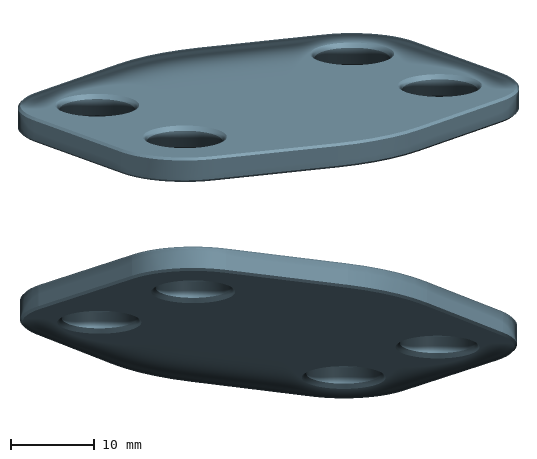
import cadquery as cq
import math

length = 57.0
width = 46.0
thickness = 3.0
hole_diameter = 9.0
hole_spacing_x = 17.5
hole_spacing_y = 38.0
hole_chamfer = 0.5
edge_chamfer = 0.3

hole_x = hole_spacing_x / 2
hole_y = hole_spacing_y / 2
side_radius = width / 2
corner_radius = length / 2 - hole_y

center_distance = math.hypot(hole_x, hole_y)
flank_angle = math.atan2(hole_y, hole_x) - math.acos((side_radius - corner_radius) / center_distance)


def on_circle(center_x, center_y, radius, angle):
    """Point on a circle at an angle in radians from +X."""
    return (center_x + radius * math.cos(angle), center_y + radius * math.sin(angle))


def mirror_x(point):
    return (-point[0], point[1])


def mirror_y(point):
    return (point[0], -point[1])


def make_plate():
    """Plate with rounded corners and bowed sides, chamfered on both faces."""
    side_end = on_circle(0, 0, side_radius, flank_angle)
    corner_start = on_circle(hole_x, hole_y, corner_radius, flank_angle)
    corner_middle = on_circle(hole_x, hole_y, corner_radius, (flank_angle + math.pi / 2) / 2)
    corner_end = (hole_x, length / 2)

    outline = (
        cq.Workplane("XY")
        .moveTo(*mirror_y(side_end))
        .threePointArc((side_radius, 0), side_end)
        .lineTo(*corner_start)
        .threePointArc(corner_middle, corner_end)
        .lineTo(*mirror_x(corner_end))
        .threePointArc(mirror_x(corner_middle), mirror_x(corner_start))
        .lineTo(*mirror_x(side_end))
        .threePointArc((-side_radius, 0), mirror_x(mirror_y(side_end)))
        .lineTo(*mirror_x(mirror_y(corner_start)))
        .threePointArc(mirror_x(mirror_y(corner_middle)), mirror_x(mirror_y(corner_end)))
        .lineTo(*mirror_y(corner_end))
        .threePointArc(mirror_y(corner_middle), mirror_y(corner_start))
        .close()
    )
    return outline.extrude(thickness).faces("<Z or >Z").edges().chamfer(edge_chamfer)


def make_hole_cutters():
    """Four through holes, flared at both ends."""
    radius = hole_diameter / 2
    flared_radius = radius + hole_chamfer
    profile = [
        (0, 0),
        (flared_radius, 0),
        (radius, hole_chamfer),
        (radius, thickness - hole_chamfer),
        (flared_radius, thickness),
        (0, thickness),
    ]
    cutter = cq.Workplane("XZ").polyline(profile).close().revolve(360, (0, 0, 0), (0, 1, 0)).val()
    return (
        cq.Workplane("XY")
        .rect(hole_spacing_x, hole_spacing_y, forConstruction=True)
        .vertices()
        .eachpoint(lambda location: cutter.moved(location))
    )


result = make_plate().cut(make_hole_cutters())